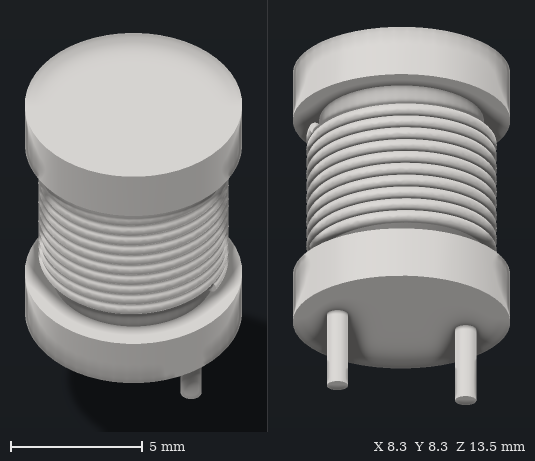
import cadquery as cq

total_height = 13.5
pin_length = 3.0
flange_diameter = 8.3
flange_thickness = 2.0
core_diameter = 6.29
core_height = total_height - pin_length - 2 * flange_thickness
core_bottom = flange_thickness
core_top = core_bottom + core_height

turns = 10
pitch = 0.5
wire_diameter = 0.49
core_clearance = 0.007
coil_radius = core_diameter / 2 + core_clearance + wire_diameter / 2
coil_height = turns * pitch
coil_bottom = core_bottom + (core_height - coil_height) / 2

pin_diameter = 0.81
pin_spacing = 5.08


def make_cylinder(diameter, height, bottom, x=0.0):
    """Upright cylinder with its lower face centred at (x, 0, bottom)."""
    base = cq.Workplane("XY", origin=(x, 0, bottom))
    return base.circle(diameter / 2).extrude(height)


def make_flange(bottom):
    return make_cylinder(flange_diameter, flange_thickness, bottom)


def make_core():
    return make_cylinder(core_diameter, core_height, core_bottom)


def make_coil():
    """Round wire swept along the helix, with both ends on the +X side."""
    path = cq.Wire.makeHelix(pitch, coil_height, coil_radius, center=cq.Vector(0, 0, coil_bottom))
    section = cq.Workplane("XZ").center(coil_radius, coil_bottom).circle(wire_diameter / 2)
    return section.sweep(cq.Workplane(path), isFrenet=True)


def make_pin(x):
    return make_cylinder(pin_diameter, pin_length, -pin_length, x)


flanges = [make_flange(bottom) for bottom in (0.0, core_top)]
core = make_core()
coil = make_coil()
pins = [make_pin(side * pin_spacing / 2) for side in (-1, 1)]

result = cq.Compound.makeCompound(
    [
        *[flange.val() for flange in flanges],
        core.val(),
        coil.val(),
        *[pin.val() for pin in pins],
    ]
)